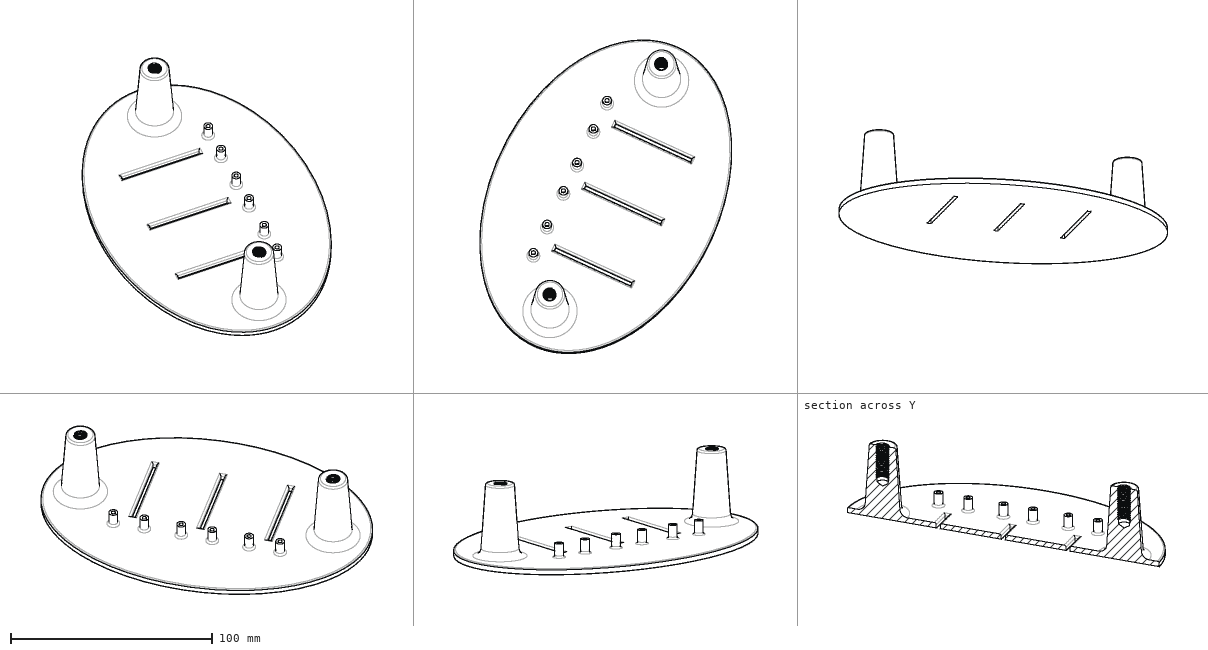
import cadquery as cq
import math

PLATE_LENGTH = 167.9
PLATE_WIDTH = 113.5
PLATE_THICKNESS = 3.0
RIM_CHAMFER = 0.5

POST_TOP_Z = 40.0
POST_OFFSET = 65.0
POST_BASE_RADIUS = 9.7
POST_TOP_RADIUS = 7.2
POST_ROOT_FILLET = 4.0
POST_TIP_FILLET = 1.0
POST_HOLE_DIAMETER = 5.9
POST_HOLE_DEPTH = 20.1
DRILL_POINT_ANGLE = 118.0

THREAD_PITCH = 1.2
THREAD_TURNS_BELOW_TOP = 15.5
THREAD_TURNS_ABOVE_TOP = 1.0
THREAD_GROOVE_DEPTH = 0.5
THREAD_GROOVE_WIDTH = 1.0
THREAD_OVERLAP = 0.2
HOLE_SEAM_ANGLE = 100.0

STATION_PITCH = 35.0
STATION_SHIFT = -0.08
STATIONS = [STATION_SHIFT + i * STATION_PITCH for i in (-1, 0, 1)]

PIN_SPACING = 16.0
PIN_Y = 19.5
PIN_TOP_Z = 10.0
PIN_DIAMETER = 4.4
PIN_ROOT_FILLET = 1.0
PIN_HOLE_DIAMETER = 2.0
PIN_HOLE_DEPTH = PIN_TOP_Z - PLATE_THICKNESS

SLOT_WIDTH = 2.0
SLOT_LENGTH = 42.0
SLOT_Y = -9.5
SLOT_EDGE_FILLET = 1.0
SELECTION_MARGIN = 0.2


def make_plate():
    plate = cq.Workplane("XY").ellipse(PLATE_LENGTH / 2, PLATE_WIDTH / 2).extrude(PLATE_THICKNESS)
    return plate.faces(">Z").edges().chamfer(RIM_CHAMFER)


def cut_slot(plate, x):
    """Cut a rectangular through slot with a rounded upper edge."""
    slot = cq.Workplane("XY").center(x, SLOT_Y).rect(SLOT_WIDTH, SLOT_LENGTH).extrude(PLATE_THICKNESS)
    plate = plate.cut(slot)
    upper_edges = cq.selectors.BoxSelector(
        (x - SLOT_WIDTH, SLOT_Y - SLOT_LENGTH, PLATE_THICKNESS - SELECTION_MARGIN),
        (x + SLOT_WIDTH, SLOT_Y + SLOT_LENGTH, PLATE_THICKNESS + SELECTION_MARGIN),
    )
    return plate.edges(upper_edges).fillet(SLOT_EDGE_FILLET)


def drilled_hole(diameter, depth, top_z):
    """Blind hole with a conical drill point, revolved about Z."""
    radius = diameter / 2
    point = radius / math.tan(math.radians(DRILL_POINT_ANGLE / 2))
    return (
        cq.Workplane("XZ")
        .moveTo(0, top_z)
        .lineTo(radius, top_z)
        .lineTo(radius, top_z - depth)
        .lineTo(0, top_z - depth - point)
        .close()
        .revolve(360, (0, 0, 0), (0, 1, 0))
    )


def thread_groove():
    """V-shaped groove winding up the post hole and running out through the post's top face."""
    hole_radius = POST_HOLE_DIAMETER / 2
    turns = THREAD_TURNS_BELOW_TOP + THREAD_TURNS_ABOVE_TOP
    path = cq.Workplane(cq.Wire.makeHelix(THREAD_PITCH, THREAD_PITCH * turns, hole_radius))
    root = hole_radius + THREAD_GROOVE_DEPTH
    mouth = hole_radius - THREAD_OVERLAP
    groove = (
        cq.Workplane("XZ")
        .moveTo(mouth, -THREAD_GROOVE_WIDTH / 2)
        .lineTo(root, 0)
        .lineTo(mouth, THREAD_GROOVE_WIDTH / 2)
        .close()
        .sweep(path, isFrenet=True)
    )
    return groove.translate((0, 0, POST_TOP_Z - THREAD_PITCH * THREAD_TURNS_BELOW_TOP))


def boss_with_root(base_radius, top_radius, top_z, root_fillet):
    """Round boss standing on the plate, with a concave fillet tangent to the plate and to its side."""
    rise = top_z - PLATE_THICKNESS
    taper = math.atan2(base_radius - top_radius, rise)
    center_r = base_radius + root_fillet * math.tan(math.pi / 4 - taper / 2)
    center_z = PLATE_THICKNESS + root_fillet

    def on_fillet(angle):
        return (center_r - root_fillet * math.cos(angle), center_z - root_fillet * math.sin(angle))

    return (
        cq.Workplane("XZ")
        .moveTo(0, 0)
        .lineTo(center_r, 0)
        .lineTo(center_r, PLATE_THICKNESS)
        .threePointArc(on_fillet((math.pi / 2 + taper) / 2), on_fillet(taper))
        .lineTo(top_radius, top_z)
        .lineTo(0, top_z)
        .close()
        .revolve(360, (0, 0, 0), (0, 1, 0))
    )


def make_post():
    post = boss_with_root(POST_BASE_RADIUS, POST_TOP_RADIUS, POST_TOP_Z, POST_ROOT_FILLET)
    post = post.faces(">Z").edges().fillet(POST_TIP_FILLET)
    hole = drilled_hole(POST_HOLE_DIAMETER, POST_HOLE_DEPTH, POST_TOP_Z)
    hole = hole.rotate((0, 0, 0), (0, 0, 1), HOLE_SEAM_ANGLE)
    return post.cut(thread_groove()).cut(hole)


def make_pin():
    radius = PIN_DIAMETER / 2
    pin = boss_with_root(radius, radius, PIN_TOP_Z, PIN_ROOT_FILLET)
    return pin.faces(">Z").workplane().hole(PIN_HOLE_DIAMETER, PIN_HOLE_DEPTH)


result = make_plate()

for station_x in STATIONS:
    result = cut_slot(result, station_x)

post = make_post()
for post_x in (-POST_OFFSET, POST_OFFSET):
    result = result.union(post.translate((post_x, 0, 0)))

pin = make_pin()
for station_x in STATIONS:
    for side in (-1, 1):
        result = result.union(pin.translate((station_x + side * PIN_SPACING / 2, PIN_Y, 0)))

result = cq.Workplane(result.solids().val())